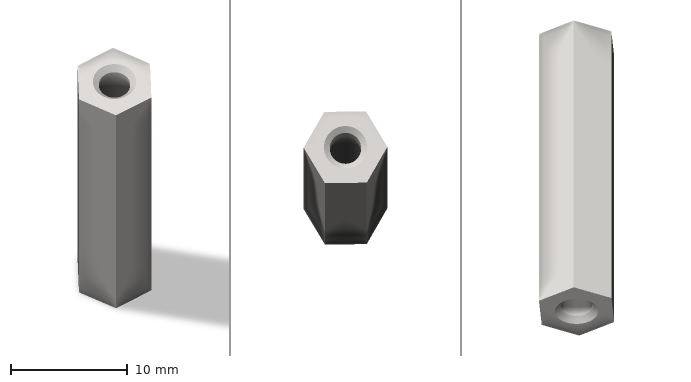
import cadquery as cq

length = 28.0
across_corners = 7.17
bore_diameter = 2.7
countersink_diameter = 3.7

countersink_depth = (countersink_diameter - bore_diameter) / 2

bar = cq.Workplane("XY").polygon(6, across_corners).extrude(length / 2, both=True)

bored_bar = bar.faces(">Z").workplane().hole(bore_diameter)

result = bored_bar.faces("<Z or >Z").edges("%CIRCLE").chamfer(countersink_depth)